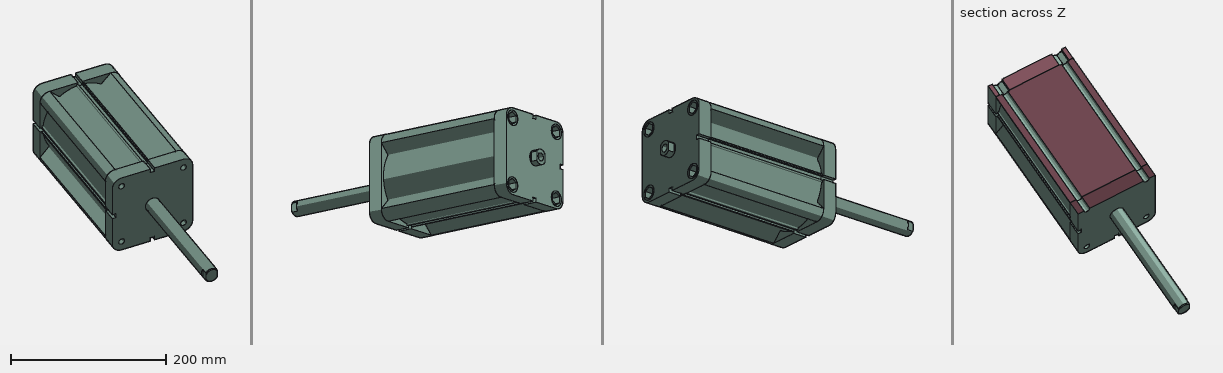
import cadquery as cq
import math


total_length = 407.0
side = 116.0
corner_radius = 13.5
cap_length = 20.0
body_length = 227.0

rod_radius = 10.0
rear_stub = 10.0
rod_chamfer = 1.2
flat_half_width = 8.0
flat_length = 9.8
rear_flat_length = 9.0
centre_hole_radius = 5.3
centre_hole_depth = 16.3
drill_point_angle = 118.0

slot_width = 6.0
slot_depth = 5.3
tie_hole_radius = 4.0
hex_across_flats = 14.2
spot_face_radius = 10.0
spot_face_depth = 0.5

flute_half_width = 44.0
flute_floor_half_width = 30.0
tube_radius = 53.7
rib_half_width = 5.5
rib_top = 55.5
rib_fillet = 1.0
floor_fillet = 1.5

half_side = side / 2
rear_cap_start = -total_length / 2 + rear_stub
barrel_start = rear_cap_start + cap_length
barrel_length = body_length - 2 * cap_length
front_cap_start = barrel_start + barrel_length
tie_hole_offset = half_side - corner_radius
tie_hole_places = [
    (y, z)
    for y in (-tie_hole_offset, tie_hole_offset)
    for z in (-tie_hole_offset, tie_hole_offset)
]
SLOTTED_SIDES = (0, 90, 180)
ALL_SIDES = (0, 90, 180, 270)


def section(x):
    """Workplane across the axis at x, with local axes along Y and Z."""
    return cq.Workplane("YZ", origin=(x, 0, 0))


def turned(shape, angle):
    """Turn a shape made for the +Z side about the axis."""
    return shape.rotate((0, 0, 0), (1, 0, 0), angle)


def square_block(x, length, edge_radius):
    """Rounded square block bored for the rod and the four tie holes."""
    return (
        section(x).rect(side, side).extrude(length)
        .edges("|X").fillet(edge_radius)
        .cut(section(x).circle(rod_radius).extrude(length))
        .cut(section(x).pushPoints(tie_hole_places).circle(tie_hole_radius).extrude(length))
    )


def cut_slots(block, x, length):
    """Cut the narrow slot along the three slotted sides."""
    slot_floor = half_side - slot_depth
    slot = (
        section(x).center(0, slot_floor + slot_depth / 2)
        .rect(slot_width, slot_depth).extrude(length)
    )
    for angle in SLOTTED_SIDES:
        block = block.cut(turned(slot, angle))
    return block


def make_cap(x):
    """Plain slotted end cap starting at x."""
    return cut_slots(square_block(x, cap_length, corner_radius), x, cap_length)


def make_rear_cap():
    """End cap with a hexagonal socket and a shallow spot face at each tie hole."""
    hex_diameter = hex_across_flats / math.cos(math.pi / 6)
    hexagon = (
        section(rear_cap_start).polygon(6, hex_diameter).extrude(cap_length)
        .rotate((0, 0, 0), (1, 0, 0), 30)
    )
    cap = make_cap(rear_cap_start)
    for y, z in tie_hole_places:
        cap = cap.cut(hexagon.translate((0, y, z)))
    spot_faces = (
        section(rear_cap_start).pushPoints(tie_hole_places)
        .circle(spot_face_radius).extrude(spot_face_depth)
    )
    return cap.cut(spot_faces)


def edge_box(half_width, top):
    """Selector for edges of a +Z side shape between the axis and the height top."""
    return cq.selectors.BoxSelector((-total_length, -half_width, 0), (total_length, half_width, top))


def make_flute(with_rib):
    """Cutter for one side: sloped walls down to the round tube, leaving a middle rib if asked."""
    floor_height = math.sqrt(tube_radius**2 - flute_floor_half_width**2)
    flute = (
        section(barrel_start)
        .moveTo(-flute_half_width, half_side)
        .lineTo(-flute_floor_half_width, floor_height)
        .threePointArc((0, tube_radius), (flute_floor_half_width, floor_height))
        .lineTo(flute_half_width, half_side)
        .close()
        .extrude(barrel_length)
    )
    below_tube_top = edge_box(half_side, tube_radius)
    flute = flute.edges("|X").edges(below_tube_top).fillet(floor_fillet)
    if not with_rib:
        return flute
    rib = (
        section(barrel_start).center(0, rib_top / 2)
        .rect(2 * rib_half_width, rib_top).extrude(barrel_length)
    )
    around_rib = edge_box((rib_half_width + flute_floor_half_width) / 2, half_side)
    return flute.cut(rib).edges("|X").edges(around_rib).fillet(rib_fillet)


def make_barrel():
    """Fluted middle block, its slots running on from the slots of the caps."""
    barrel = square_block(barrel_start, barrel_length, half_side - flute_half_width)
    for angle in ALL_SIDES:
        barrel = barrel.cut(turned(make_flute(angle in SLOTTED_SIDES), angle))
    return cut_slots(barrel, barrel_start, barrel_length)


def make_rod():
    """Turned rod with a drilled rear end, a chamfered front end and two wrench flats at each end."""
    rear_end = -total_length / 2
    front_end = total_length / 2
    hole_end = rear_end + centre_hole_depth
    point_depth = centre_hole_radius / math.tan(math.radians(drill_point_angle / 2))
    rod = (
        cq.Workplane("XZ")
        .moveTo(hole_end + point_depth, 0)
        .lineTo(hole_end, centre_hole_radius)
        .lineTo(rear_end, centre_hole_radius)
        .lineTo(rear_end, rod_radius)
        .lineTo(front_end - rod_chamfer, rod_radius)
        .lineTo(front_end, rod_radius - rod_chamfer)
        .lineTo(front_end, 0)
        .close()
        .revolve(360, (0, 0, 0), (1, 0, 0))
    )
    for start, length in ((rear_end, rear_flat_length), (front_end - flat_length, flat_length)):
        stock = section(start).rect(side, side).extrude(length)
        kept = section(start).rect(2 * flat_half_width, side).extrude(length)
        rod = rod.cut(stock.cut(kept))
    return rod


rear_cap = make_rear_cap()
barrel = make_barrel()
front_cap = make_cap(front_cap_start)
rod = make_rod()

result = cq.Compound.makeCompound([rear_cap.val(), barrel.val(), front_cap.val(), rod.val()])